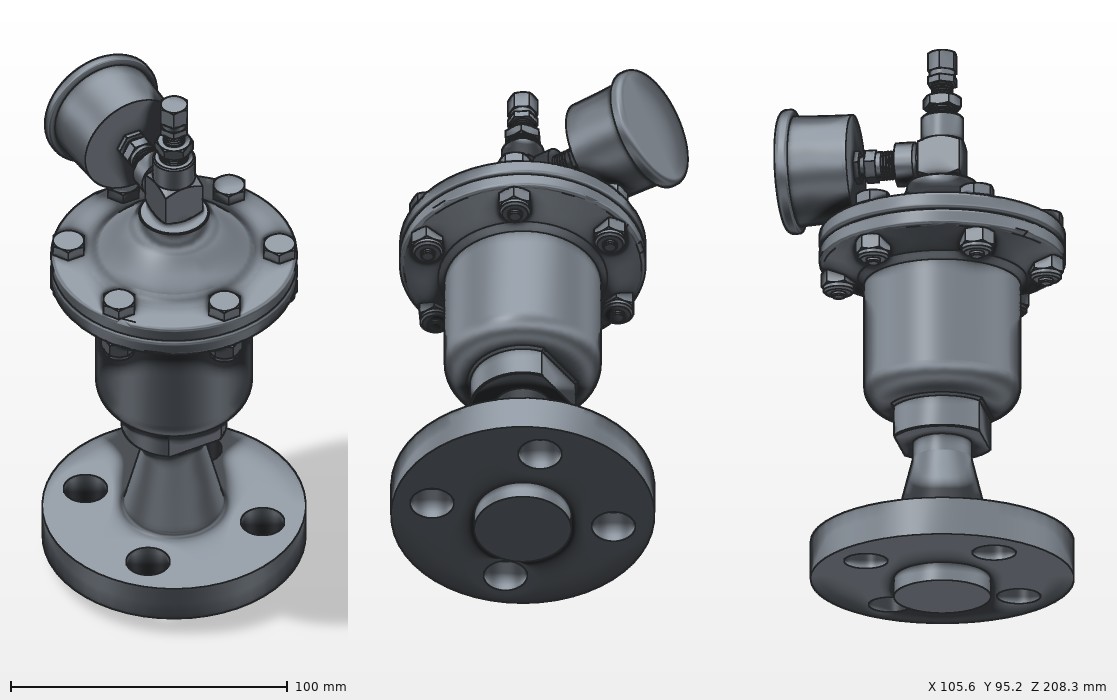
import cadquery as cq
import math


crown_slope = math.tan(math.radians(30))

flange_d = 95.25
raised_face_d = 35.05
flange_bottom_z = 6.9
flange_top_z = 20.9
flange_bolt_circle_d = 66.7
flange_hole_d = 15.8
flange_hole_count = 4
flange_hole_start_angle = 45.0
hub_root_r = 20.6
hub_base_r = 18.1
hub_base_z = 23.2
pipe_r = 21.34 / 2
hub_top_z = 52.7
collar_bottom_z = 58.8

collar_d = 38.1
collar_flat_width = 31.4
collar_bottom_chamfer = 0.4
collar_top_flare = 1.0

body_r = 56.64 / 2
body_bottom_z = 71.4
body_corner_r = 9.5
body_top_z = 119.4
body_lip_r = 61.21 / 2
body_lip_z = 122.0

rim_r = 88.9 / 2
rim_edge_r = 1.6
rim_thickness = 6.35
joint_z = 133.4
lower_rim_z = joint_z - rim_thickness
upper_rim_z = joint_z + rim_thickness

dome_root_r = 32.9
dome_base_r = 27.6
dome_base_z = 142.1
dome_shoulder_r = 17.0
dome_shoulder_z = 150.9
dome_bulge = 0.9
dome_top_r = 25.4 / 2
dome_top_z = 158.1
dome_top_chamfer = 0.4

bolt_circle_r = 76.2 / 2
bolt_count = 6
bolt_hex_width = 11.18
bolt_head_height = 4.2
nut_height = 5.6
nut_cap_d = bolt_hex_width
nut_cap_height = 2.4
nut_cap_chamfer = 0.9
bolt_tip_d = 5.2
bolt_tip_length = 1.5
bolt_tip_chamfer = 0.5

block_width = 15.24
block_bottom_z = 159.2
block_neck_d = 10.29
block_top_z = block_bottom_z + block_width
tee_axis_z = block_bottom_z + block_width / 2
tee_top_z = 183.8
tee_top_chamfer = 0.6

pipe_thread_d = 10.29
thread_depth = 0.55
thread_pitch = 1.0
fitting_hex_width = 12.0
fitting_hex_bottom_z = 187.2
fitting_hex_top_z = 191.4
thread_relief_height = 0.7
small_thread_d = 7.62
cap_hex_width = 9.525
cap_waist_d = 9.35
cap_bottom_z = 196.3
cap_waist_bottom_z = 199.0
cap_waist_top_z = 201.3
overall_height = 208.3

branch_neck_r = 6.7
branch_bevel_start = 8.4
branch_collar_d = 15.8
branch_collar_start = 9.7
branch_collar_end = 16.4
branch_thread_end = 21.8
branch_shoulder_end = 23.8
branch_hex_width = 10.4
branch_hex_end = 27.8
branch_stem_d = 7.62
branch_stem_end = 29.9
case_back = 31.8
case_back_r = 19.2
case_back_band = 1.5
case_front_r = 20.0
bezel_r = 45.09 / 2
bezel_back = 53.2
bezel_back_fillet = 0.9
bezel_front_fillet = 2.3
gauge_face = 57.95


def cylinder(diameter, start, end):
    return cq.Workplane("XY").workplane(offset=start).circle(diameter / 2).extrude(end - start)


def cone(r_start, start, r_end, end):
    profile = cq.Workplane("XZ").moveTo(0, start).lineTo(r_start, start).lineTo(r_end, end).lineTo(0, end)
    return profile.close().revolve(360, (0, 0, 0), (0, 1, 0))


def hexagon(width, start, end, corner_angle):
    """Hexagonal prism on the Z axis with one corner at the given angle from X."""
    corner_d = width / math.cos(math.radians(30))
    prism = cq.Workplane("XY").workplane(offset=start).polygon(6, corner_d).extrude(end - start)
    return prism.rotate((0, 0, 0), (0, 0, 1), corner_angle)


def crown(width, start, end, crowned_start, crowned_end):
    """Round envelope that bevels the corners of a prism of the given width at its crowned ends."""
    wide_r = width / 2 + (end - start) / crown_slope
    envelope = cylinder(2 * wide_r, start, end)
    if crowned_start:
        envelope = envelope.intersect(cone(width / 2, start, wide_r, end))
    if crowned_end:
        envelope = envelope.intersect(cone(wide_r, start, width / 2, end))
    return envelope


def crowned_hexagon(width, start, end, corner_angle, crowned_start=False, crowned_end=True):
    envelope = crown(width, start, end, crowned_start, crowned_end)
    return hexagon(width, start, end, corner_angle).intersect(envelope)


def join(pieces):
    joined = pieces[0]
    for piece in pieces[1:]:
        joined = joined.union(piece)
    return joined


def threaded_rod(diameter, start, end):
    """Rod with evenly spaced V-shaped thread grooves."""
    turns = round((end - start) / thread_pitch)
    pitch = (end - start) / turns
    crest_r = diameter / 2
    profile = cq.Workplane("XZ").moveTo(0, start).lineTo(crest_r, start)
    for turn in range(turns):
        profile = profile.lineTo(crest_r - thread_depth, start + (turn + 0.5) * pitch)
        profile = profile.lineTo(crest_r, start + (turn + 1) * pitch)
    return profile.lineTo(0, end).close().revolve(360, (0, 0, 0), (0, 1, 0))


def make_pipe_flange():
    hub = (
        cq.Workplane("XZ")
        .moveTo(0, 0)
        .lineTo(raised_face_d / 2, 0)
        .lineTo(raised_face_d / 2, flange_bottom_z)
        .lineTo(flange_d / 2, flange_bottom_z)
        .lineTo(flange_d / 2, flange_top_z)
        .lineTo(hub_root_r, flange_top_z)
        .tangentArcPoint((hub_base_r, hub_base_z), relative=False)
        .lineTo(pipe_r, hub_top_z)
        .lineTo(pipe_r, collar_bottom_z)
        .lineTo(0, collar_bottom_z)
        .close()
        .revolve(360, (0, 0, 0), (0, 1, 0))
    )
    holes = (
        cq.Workplane("XY")
        .workplane(offset=flange_bottom_z)
        .polarArray(flange_bolt_circle_d / 2, flange_hole_start_angle, 360, flange_hole_count)
        .circle(flange_hole_d / 2)
        .extrude(flange_top_z - flange_bottom_z)
    )
    return hub.cut(holes)


def make_collar():
    collar = cylinder(collar_d, collar_bottom_z, body_bottom_z).faces("<Z").chamfer(collar_bottom_chamfer)
    flats = cq.Workplane("XY").box(collar_flat_width, collar_d, 2 * body_bottom_z)
    collar = collar.intersect(flats)
    flare_z = body_bottom_z - collar_top_flare
    outline = collar.faces(">Z").wires().val().translate(cq.Vector(0, 0, -collar_top_flare))
    flare = cq.Workplane("XY").workplane(offset=flare_z).add(outline).toPending()
    return collar.union(flare.extrude(collar_top_flare, taper=-45))


def make_body_and_bonnet():
    edge = rim_edge_r
    bend = edge * (1 - math.sqrt(0.5))
    inner_r = rim_r - edge
    corner_bend = body_corner_r * (1 - math.sqrt(0.5))
    return (
        cq.Workplane("XZ")
        .moveTo(0, body_bottom_z)
        .lineTo(body_r - body_corner_r, body_bottom_z)
        .threePointArc(
            (body_r - corner_bend, body_bottom_z + corner_bend),
            (body_r, body_bottom_z + body_corner_r),
        )
        .lineTo(body_r, body_top_z)
        .lineTo(body_lip_r, body_lip_z)
        .lineTo(inner_r, lower_rim_z)
        .threePointArc((rim_r - bend, lower_rim_z + bend), (rim_r, lower_rim_z + edge))
        .lineTo(rim_r, joint_z - edge)
        .threePointArc((rim_r - bend, joint_z - bend), (inner_r, joint_z))
        .threePointArc((rim_r - bend, joint_z + bend), (rim_r, joint_z + edge))
        .lineTo(rim_r, upper_rim_z - edge)
        .threePointArc((rim_r - bend, upper_rim_z - bend), (inner_r, upper_rim_z))
        .lineTo(dome_root_r, upper_rim_z)
        .tangentArcPoint((dome_base_r, dome_base_z), relative=False)
        .sagittaArc((dome_shoulder_r, dome_shoulder_z), -dome_bulge)
        .tangentArcPoint((dome_top_r, dome_top_z - dome_top_chamfer), relative=False)
        .lineTo(dome_top_r - dome_top_chamfer, dome_top_z)
        .lineTo(0, dome_top_z)
        .close()
        .revolve(360, (0, 0, 0), (0, 1, 0))
    )


def make_rim_bolt():
    """Bolt head above the rims with its nut, nut cap and bolt tip below them."""
    nut_bottom_z = lower_rim_z - nut_height
    cap_bottom = nut_bottom_z - nut_cap_height
    tip_bottom = cap_bottom - bolt_tip_length
    head = crowned_hexagon(bolt_hex_width, upper_rim_z, upper_rim_z + bolt_head_height, 90)
    nut = crowned_hexagon(bolt_hex_width, nut_bottom_z, lower_rim_z, 0, True, True)
    cap = cylinder(nut_cap_d, cap_bottom, nut_bottom_z).faces("<Z").chamfer(nut_cap_chamfer)
    tip = cylinder(bolt_tip_d, tip_bottom, cap_bottom).faces("<Z").chamfer(bolt_tip_chamfer)
    shank = cylinder(bolt_tip_d, cap_bottom, upper_rim_z)
    return head.union(shank).union(nut).union(cap).union(tip)


def make_tee():
    block = cq.Workplane("XY").box(block_width, block_width, block_width).translate((0, 0, tee_axis_z))
    block = block.intersect(crown(block_width, block_bottom_z, block_top_z, True, True))
    neck = cylinder(block_neck_d, dome_top_z, block_bottom_z)
    port = cylinder(block_width, block_top_z, tee_top_z).faces(">Z").chamfer(tee_top_chamfer)
    return block.union(neck).union(port)


def make_bleed_fitting():
    relief_z = fitting_hex_bottom_z - thread_relief_height
    small_thread_z = fitting_hex_top_z + thread_relief_height
    parts = [
        threaded_rod(pipe_thread_d, tee_top_z, relief_z),
        cylinder(pipe_thread_d, relief_z, fitting_hex_bottom_z),
        crowned_hexagon(fitting_hex_width, fitting_hex_bottom_z, fitting_hex_top_z, 0, True, True),
        cylinder(small_thread_d, fitting_hex_top_z, small_thread_z),
        threaded_rod(small_thread_d, small_thread_z, cap_bottom_z),
        hexagon(cap_hex_width, cap_bottom_z, cap_waist_bottom_z, 90),
        cylinder(cap_waist_d, cap_waist_bottom_z, cap_waist_top_z),
        crowned_hexagon(cap_hex_width, cap_waist_top_z, overall_height, 90),
    ]
    return join(parts)


def make_gauge():
    """Gauge on the Z axis, from its case back up to its face."""
    front_bend = bezel_front_fillet * (1 - math.sqrt(0.5))
    back_bend = bezel_back_fillet * (1 - math.sqrt(0.5))
    return (
        cq.Workplane("XZ")
        .moveTo(0, case_back)
        .lineTo(case_back_r, case_back)
        .lineTo(case_back_r, case_back + case_back_band)
        .lineTo(case_front_r, bezel_back)
        .lineTo(bezel_r - bezel_back_fillet, bezel_back)
        .threePointArc(
            (bezel_r - back_bend, bezel_back + back_bend),
            (bezel_r, bezel_back + bezel_back_fillet),
        )
        .lineTo(bezel_r, gauge_face - bezel_front_fillet)
        .threePointArc(
            (bezel_r - front_bend, gauge_face - front_bend),
            (bezel_r - bezel_front_fillet, gauge_face),
        )
        .lineTo(0, gauge_face)
        .close()
        .revolve(360, (0, 0, 0), (0, 1, 0))
    )


def make_gauge_branch():
    """Branch built up along Z, then turned to point along -X from the tee block."""
    collar_r = branch_collar_d / 2
    parts = [
        cylinder(2 * branch_neck_r, 0, branch_bevel_start),
        cone(branch_neck_r, branch_bevel_start, collar_r, branch_collar_start),
        cylinder(branch_collar_d, branch_collar_start, branch_collar_end),
        threaded_rod(pipe_thread_d, branch_collar_end, branch_thread_end),
        cylinder(pipe_thread_d, branch_thread_end, branch_shoulder_end),
        hexagon(branch_hex_width, branch_shoulder_end, branch_hex_end, 90),
        cylinder(branch_stem_d, branch_hex_end, branch_stem_end),
        hexagon(branch_hex_width, branch_stem_end, case_back, 90),
        make_gauge(),
    ]
    return join(parts).rotate((0, 0, 0), (0, 1, 0), -90).translate((0, 0, tee_axis_z))


result = make_pipe_flange().union(make_collar()).union(make_body_and_bonnet())
rim_bolt = make_rim_bolt()
for index in range(bolt_count):
    bolt_angle = math.radians(index * 360 / bolt_count)
    bolt_x = bolt_circle_r * math.cos(bolt_angle)
    bolt_y = bolt_circle_r * math.sin(bolt_angle)
    result = result.union(rim_bolt.translate((bolt_x, bolt_y, 0)))
result = result.union(make_tee()).union(make_bleed_fitting()).union(make_gauge_branch())